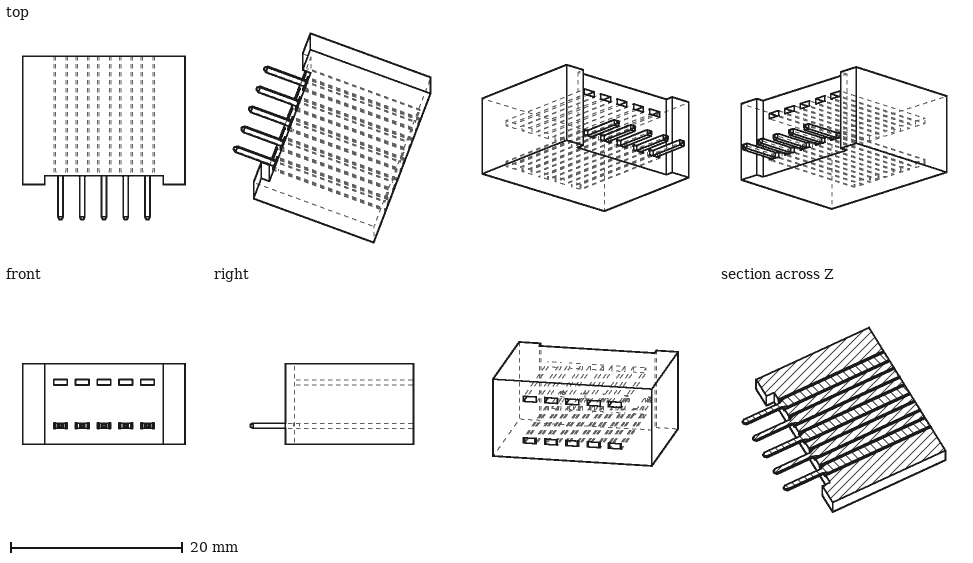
import cadquery as cq

HOUSING_WIDTH = 18.95
HOUSING_HEIGHT = 9.4
HOUSING_DEPTH = 14.96
OVERALL_DEPTH = 19.06
RECESS_WIDTH = 13.76
RECESS_DEPTH = 1.01

CONTACT_COUNT = 5
CONTACT_PITCH = 2.53
ROW_SPACING = 5.07
SLOT_WIDTH = 1.52
SLOT_HEIGHT = 0.63

PIN_SIZE = SLOT_HEIGHT
TIP_SIZE = 0.25
TIP_LENGTH = 0.32
BLADE_WIDTH = 1.22
FLARE_LENGTH = 0.72
FLARE_OVERHANG = 0.1

TIP_Y = -OVERALL_DEPTH / 2
TAIL_START_Y = TIP_Y + TIP_LENGTH
REAR_Y = OVERALL_DEPTH / 2
FRONT_Y = REAR_Y - HOUSING_DEPTH
RECESS_Y = FRONT_Y + RECESS_DEPTH
FLARE_START_Y = RECESS_Y - FLARE_OVERHANG
FLARE_END_Y = FLARE_START_Y + FLARE_LENGTH

CONTACT_XS = [(i - (CONTACT_COUNT - 1) / 2) * CONTACT_PITCH for i in range(CONTACT_COUNT)]
UPPER_ROW_Z = ROW_SPACING / 2
LOWER_ROW_Z = -ROW_SPACING / 2


def make_block(width, height, start_y, end_y, x=0, z=0):
    """Box centred on (x, z) that runs from start_y to end_y."""
    block = cq.Workplane("XY").box(width, end_y - start_y, height)
    return block.translate((x, (start_y + end_y) / 2, z))


def make_housing():
    """Block with a full-height front recess and through slots for the contacts."""
    housing = make_block(HOUSING_WIDTH, HOUSING_HEIGHT, FRONT_Y, REAR_Y)
    housing = housing.cut(make_block(RECESS_WIDTH, HOUSING_HEIGHT, FRONT_Y, RECESS_Y))
    for z in (LOWER_ROW_Z, UPPER_ROW_Z):
        for x in CONTACT_XS:
            housing = housing.cut(make_block(SLOT_WIDTH, SLOT_HEIGHT, RECESS_Y, REAR_Y, x, z))
    return housing


def make_pin(x):
    """Square tail with a pyramidal tip, flaring into a blade that runs to the rear face."""
    half_tail = PIN_SIZE / 2
    half_blade = BLADE_WIDTH / 2
    right_side = [
        (half_tail, TAIL_START_Y),
        (half_tail, FLARE_START_Y),
        (half_blade, FLARE_END_Y),
        (half_blade, REAR_Y),
    ]
    left_side = [(-side_x, y) for side_x, y in reversed(right_side)]
    body = (
        cq.Workplane("XY")
        .polyline(right_side + left_side)
        .close()
        .extrude(PIN_SIZE / 2, both=True)
    )
    tip = (
        cq.Workplane("XZ", origin=(0, TAIL_START_Y, 0))
        .rect(PIN_SIZE, PIN_SIZE)
        .workplane(offset=TIP_LENGTH)
        .rect(TIP_SIZE, TIP_SIZE)
        .loft(combine=True)
    )
    return body.union(tip).translate((x, 0, LOWER_ROW_Z))


housing = make_housing()
pins = [make_pin(x) for x in CONTACT_XS]

result = cq.Compound.makeCompound([housing.val(), *[pin.val() for pin in pins]])